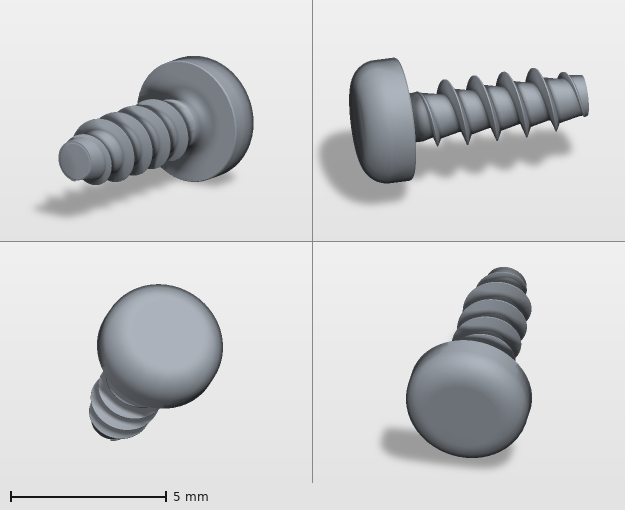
import cadquery as cq
import math

total_length = 7.5
head_diameter = 4.0
head_radius = head_diameter / 2
head_height = 1.5
head_round = 0.8
head_edge_chamfer_height = 0.045
head_edge_chamfer_width = 0.03
shank_length = total_length - head_height

neck_diameter = 1.6
neck_radius = neck_diameter / 2
neck_fillet = 0.34
neck_length = 0.55

core_radius = 0.645
core_taper_end = 1.16
tip_taper_start = 5.55
tip_radius = 0.62
tip_chamfer = 0.04
tip_chamfer_height = 0.015
tip_cone_height = 0.015
tip_edge_depth = shank_length - tip_cone_height

pitch = 0.975
crest_radius = 1.095
crest_half_width = 0.019
buried_radius = 0.6
flank_foot_radius = 0.64
flank_foot_offset = 0.8
shoulder_radius = 0.78
head_side_width = 0.16
tip_side_width = 0.17
crest_on_x_depth = 3.3
thread_start = 0.435
thread_end = 5.985
start_crest_radius = 0.765
end_crest_radius = 0.66
end_shoulder_radius = 0.65
lead_in_end = 1.575
lead_out_start = 4.46
lead_out_end = 6.15
segments_per_turn = 2
steps_per_segment = 12


def make_body():
    """Head, neck, core and tip as one revolved solid."""
    arc_45 = math.sqrt(0.5)
    head_arc_radius = head_radius - head_round
    head_arc_y = head_height - head_round
    fillet_radius = neck_radius + neck_fillet
    outline = (
        cq.Workplane("XY")
        .moveTo(0, head_height)
        .lineTo(head_arc_radius, head_height)
        .threePointArc(
            (head_arc_radius + head_round * arc_45, head_arc_y + head_round * arc_45),
            (head_radius, head_arc_y),
        )
        .lineTo(head_radius, head_edge_chamfer_height)
        .lineTo(head_radius - head_edge_chamfer_width, 0)
        .lineTo(fillet_radius, 0)
        .threePointArc(
            (fillet_radius - neck_fillet * arc_45, -neck_fillet * (1 - arc_45)),
            (neck_radius, -neck_fillet),
        )
        .lineTo(neck_radius, -neck_length)
        .lineTo(core_radius, -core_taper_end)
        .lineTo(core_radius, -tip_taper_start)
        .lineTo(tip_radius, tip_chamfer_height - tip_edge_depth)
        .lineTo(tip_radius - tip_chamfer, -tip_edge_depth)
        .lineTo(0, -shank_length)
        .close()
    )
    return outline.revolve(360, (0, 0, 0), (0, 1, 0))


def lead_out_fraction(depth):
    """0 on the full thread, easing to 1 at the end of the lead-out."""
    travel = (depth - lead_out_start) / (lead_out_end - lead_out_start)
    travel = min(1.0, max(0.0, travel))
    return (1 - math.cos(math.pi * travel)) / 2


def crest_radius_at(depth):
    """Crest radius, growing below the neck and fading out at the tip."""
    lead_in_left = max(0.0, (lead_in_end - depth) / (lead_in_end - thread_start))
    lead_in_loss = (crest_radius - start_crest_radius) * lead_in_left**2
    lead_out_loss = (crest_radius - end_crest_radius) * lead_out_fraction(depth)
    return crest_radius - lead_in_loss - lead_out_loss


def thread_section(depth):
    """Corners of the thread section as (radius, offset along Y from the crest)."""
    crest = crest_radius_at(depth)
    size = (crest - flank_foot_radius) / (crest_radius - flank_foot_radius)
    shoulder_loss = (shoulder_radius - end_shoulder_radius) * lead_out_fraction(depth) ** 2
    shoulder = min(shoulder_radius - shoulder_loss, crest - crest_half_width / 4)
    head_side = crest_half_width + (head_side_width - crest_half_width) * size
    tip_side = crest_half_width + (tip_side_width - crest_half_width) * size
    return [
        (buried_radius, head_side),
        (flank_foot_radius, head_side),
        (crest, crest_half_width),
        (crest, -crest_half_width),
        (shoulder, -tip_side),
        (flank_foot_radius, -flank_foot_offset),
        (buried_radius, -flank_foot_offset),
    ]


def section_points(depth):
    """Thread section corners placed at their angle around the Y axis."""
    angle = 2 * math.pi * (depth - crest_on_x_depth) / pitch
    return [
        cq.Vector(radius * math.cos(angle), offset - depth, radius * math.sin(angle))
        for radius, offset in thread_section(depth)
    ]


def make_thread_segment(start, end):
    """Solid stretch of thread, with ruled faces between neighbouring corner helices."""
    step = (end - start) / steps_per_segment
    sections = [section_points(start + step * i) for i in range(steps_per_segment + 1)]
    helices = [cq.Edge.makeSpline(list(corner_path)) for corner_path in zip(*sections)]
    faces = [
        cq.Face.makeRuledSurface(helix, helices[(i + 1) % len(helices)])
        for i, helix in enumerate(helices)
    ]
    for end_section in (sections[0], sections[-1]):
        faces.append(cq.Face.makeFromWires(cq.Wire.makePolygon(end_section, close=True)))
    return cq.Workplane(obj=cq.Solid.makeSolid(cq.Shell.makeShell(faces)))


def add_thread(body):
    """Join the thread to the body in short stretches, cut off where the tip chamfer begins."""
    thread_length = thread_end - thread_start
    segment_count = math.ceil(thread_length / pitch * segments_per_turn)
    segment_length = thread_length / segment_count
    thread_space = cq.Workplane("XZ").circle(head_radius).extrude(tip_edge_depth - tip_chamfer_height)
    for i in range(segment_count):
        start = thread_start + segment_length * i
        segment = make_thread_segment(start, start + segment_length)
        body = body.union(thread_space.intersect(segment), clean=False)
    return body


result = add_thread(make_body())